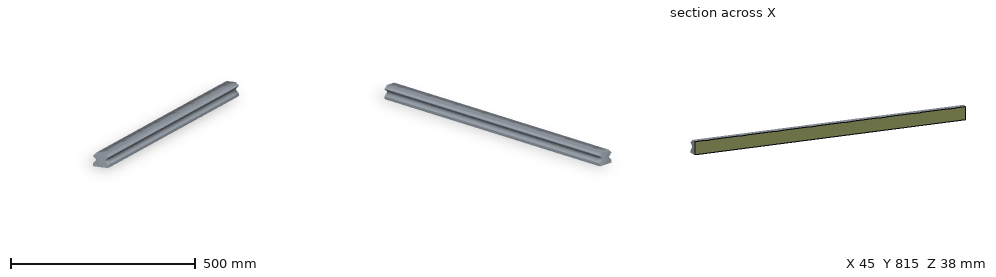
import cadquery as cq

length = 815.0
width = 45.0
height = 38.0

half_width = width / 2
top_half_width = 15.0
base_side_height = 8.0
neck_half_width = 14.0
neck_bottom = 17.0
neck_top = 20.0
wing_bottom = 28.5
wing_top = 30.0

groove_outer = (19.0, 33.5)
groove_middle = (16.0, 34.0)
groove_inner = (15.5, 36.0)

hole_count = 8
hole_pitch = 105.0
hole_diameter = 20.0
hole_depth = 1.0
first_hole_offset = 40.0


def make_rail():
    half_profile = (
        cq.Workplane("XZ")
        .lineTo(half_width, 0)
        .lineTo(half_width, base_side_height)
        .lineTo(neck_half_width, neck_bottom)
        .lineTo(neck_half_width, neck_top)
        .lineTo(half_width, wing_bottom)
        .lineTo(half_width, wing_top)
        .lineTo(*groove_outer)
        .threePointArc(groove_middle, groove_inner)
        .lineTo(top_half_width, height)
        .lineTo(0, height)
    )
    return half_profile.mirrorY().extrude(-length)


def make_recesses():
    centers = [(0, first_hole_offset + i * hole_pitch) for i in range(hole_count)]
    recess_floor = cq.Workplane("XY", origin=(0, 0, height - hole_depth))
    return recess_floor.pushPoints(centers).circle(hole_diameter / 2).extrude(hole_depth)


result = make_rail().cut(make_recesses())